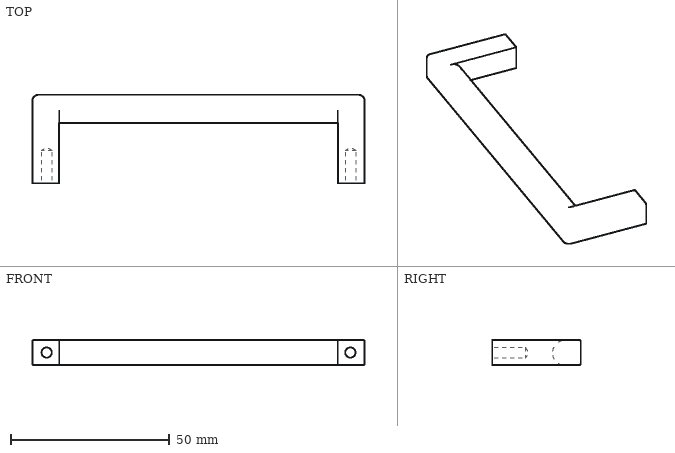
import cadquery as cq
import math

length = 105.0
depth = 28.0
thickness = 8.0

leg_width = 8.5
grip_flat_depth = 5.0
grip_radius = thickness / 2
corner_radius = 2.0
edge_radius = 0.5

hole_spacing = 96.0
hole_diameter = 3.3
hole_depth = 10.5
drill_point_angle = 118.0

back_y = depth / 2
leg_end_y = -depth / 2
grip_center_y = back_y - grip_flat_depth
grip_length = length - 2 * leg_width


def make_frame():
    """U-shaped frame with rounded back corners and rounded outer edges."""
    block = (
        cq.Workplane("XY")
        .box(length, depth, thickness)
        .edges("|Z and >Y")
        .fillet(corner_radius)
        .faces("<Z or >Z")
        .edges("not <Y")
        .fillet(edge_radius)
    )
    opening_depth = depth - grip_flat_depth
    opening = cq.Workplane("XY").box(grip_length, opening_depth, thickness)
    return block.cut(opening.translate((0, leg_end_y + opening_depth / 2, 0)))


def make_grip_round():
    """Full-thickness rod whose front half rounds the inside of the grip."""
    return (
        cq.Workplane("YZ")
        .center(grip_center_y, 0)
        .circle(grip_radius)
        .extrude(grip_length / 2, both=True)
        .intersect(
            cq.Workplane("XY")
            .box(length, grip_radius, thickness)
            .translate((0, grip_center_y - grip_radius / 2, 0))
        )
    )


def make_screw_hole(x):
    """Drilled hole with a conical bottom, running into a leg along +Y."""
    hole_radius = hole_diameter / 2
    point_depth = hole_radius / math.tan(math.radians(drill_point_angle / 2))
    return (
        cq.Workplane("XY")
        .moveTo(0, 0)
        .lineTo(hole_radius, 0)
        .lineTo(hole_radius, hole_depth)
        .lineTo(0, hole_depth + point_depth)
        .close()
        .revolve(360, (0, 0, 0), (0, 1, 0))
        .translate((x, leg_end_y, 0))
    )


result = make_frame().union(make_grip_round())
for side in (-1, 1):
    result = result.cut(make_screw_hole(side * hole_spacing / 2))